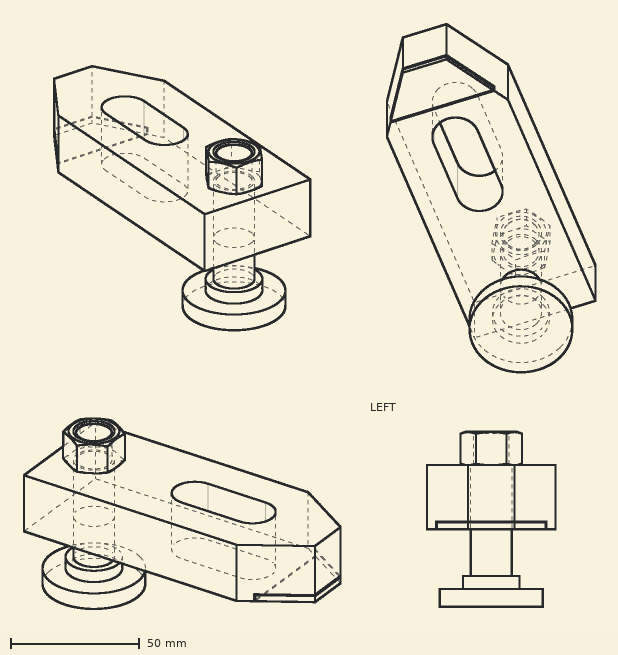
import cadquery as cq
import math

overall_length = 129.0

bar_length = 125.0
bar_width = 50.0
bar_height = 25.0
nose_length = 25.8
nose_width = 18.0
slot_width = 18.0
slot_start = 26.0
slot_end = 71.0

pad_length = 19.7
pad_height = 2.7
groove_width = 0.32
groove_depth = 0.3

foot_diameter = 40.0
foot_height = 7.0
collar_diameter = 22.0
collar_height = 5.0
shank_diameter = 16.0
shank_exposed = 18.0

nut_across_flats = 20.8
nut_height = 12.9
nut_top_diameter = 19.7
nut_bottom_diameter = 21.3
chamfer_angle = 20.0
bore_diameter = 13.9
countersink_diameter = 16.0
countersink_depth = 0.5
screw_end_drop = 0.8

screw_x = overall_length - foot_diameter / 2
collar_top = foot_height + collar_height
bar_bottom = collar_top + shank_exposed
bar_top = bar_bottom + bar_height
nut_top = bar_top + nut_height


def cylinder(diameter, bottom, top):
    """Vertical cylinder on the screw axis."""
    return cq.Workplane("XY", origin=(screw_x, 0, bottom)).circle(diameter / 2).extrude(top - bottom)


def make_bar_blank():
    """Solid bar with its end tapering to the nose."""
    return (
        cq.Workplane("XY", origin=(0, 0, bar_bottom))
        .moveTo(0, -nose_width / 2)
        .lineTo(nose_length, -bar_width / 2)
        .lineTo(bar_length, -bar_width / 2)
        .lineTo(bar_length, bar_width / 2)
        .lineTo(nose_length, bar_width / 2)
        .lineTo(0, nose_width / 2)
        .close()
        .extrude(bar_height)
    )


def nose_block(length, height):
    """Block as wide as the bar that reaches past the nose, measured from the nose and the underside."""
    return (
        cq.Workplane("XY", origin=(0, 0, bar_bottom))
        .rect(2 * length, bar_width)
        .extrude(height)
    )


def make_pad_groove(blank):
    """Groove around the contact pad, cut to a shallow depth into the nose, its sides and the underside."""
    band = nose_block(pad_length + groove_width, pad_height + groove_width).cut(
        nose_block(pad_length, pad_height)
    )
    core = (
        blank.faces("<Z")
        .wires()
        .toPending()
        .offset2D(-groove_depth)
        .extrude(bar_height, combine=False)
        .translate((0, 0, groove_depth))
    )
    return band.cut(core)


def make_bar():
    """Bar with the clamping slot, the screw bore and the pad groove."""
    blank = make_bar_blank()
    slot = (
        cq.Workplane("XY", origin=((slot_start + slot_end) / 2, 0, bar_bottom))
        .slot2D(slot_end - slot_start, slot_width)
        .extrude(bar_height)
    )
    bore = cylinder(shank_diameter, bar_bottom, bar_top)
    return blank.cut(slot).cut(bore).cut(make_pad_groove(blank))


def make_nut():
    """Hexagonal nut chamfered at both ends, with a bore countersunk at the top."""
    across_corners = nut_across_flats / math.cos(math.radians(30))
    hexagon = (
        cq.Workplane("XY", origin=(screw_x, 0, bar_top))
        .polygon(6, across_corners)
        .extrude(nut_height)
        .rotate((screw_x, 0, 0), (screw_x, 0, 1), 30)
    )

    corner_radius = across_corners / 2
    top_radius = nut_top_diameter / 2
    bottom_radius = nut_bottom_diameter / 2
    bore_radius = bore_diameter / 2
    slope = math.tan(math.radians(chamfer_angle))
    top_drop = (corner_radius - top_radius) * slope
    bottom_rise = (corner_radius - bottom_radius) * slope
    turned_ring = (
        cq.Workplane("XZ", origin=(screw_x, 0, 0))
        .moveTo(bore_radius, bar_top)
        .lineTo(bottom_radius, bar_top)
        .lineTo(corner_radius, bar_top + bottom_rise)
        .lineTo(corner_radius, nut_top - top_drop)
        .lineTo(top_radius, nut_top)
        .lineTo(countersink_diameter / 2, nut_top)
        .lineTo(bore_radius, nut_top - countersink_depth)
        .close()
        .revolve(360, (0, 0, 0), (0, 1, 0))
    )
    return hexagon.intersect(turned_ring)


def make_screw():
    """Support screw: foot, collar, shank through the bar and a narrower end inside the nut."""
    return (
        cylinder(foot_diameter, 0, foot_height)
        .union(cylinder(collar_diameter, foot_height, collar_top))
        .union(cylinder(shank_diameter, collar_top, bar_top))
        .union(cylinder(bore_diameter, bar_top, nut_top - screw_end_drop))
    )


bar = make_bar()
nut = make_nut()
screw = make_screw()

result = cq.Compound.makeCompound([bar.val(), nut.val(), screw.val()])